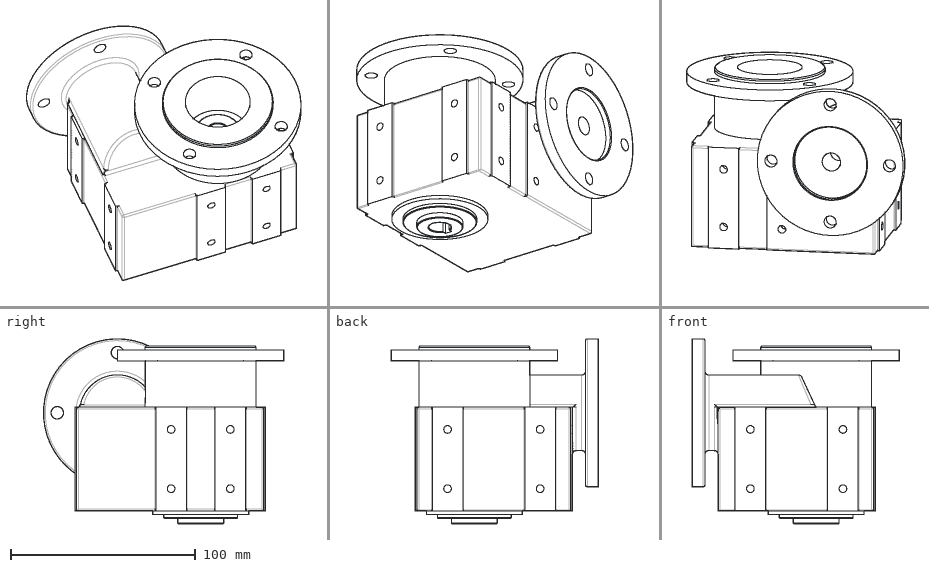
import cadquery as cq
import math


BLOCK_X_MIN = -52.0
BLOCK_X_MAX = 31.0
BLOCK_Y_MIN = -67.0
BLOCK_Y_MAX = 34.0
BLOCK_HEIGHT = 56.0
BLOCK_TOP = BLOCK_HEIGHT / 2
EDGE_RADIUS = 1.0
BOTTOM_EDGE_RADIUS = 0.5
BLOCK_X_MID = (BLOCK_X_MIN + BLOCK_X_MAX) / 2

PAD_RISE = 1.0
PAD_ROOT = 1.5
PAD_WIDTH = 16.5
PAD_FOOT_RADIUS = 0.4
LONG_SIDE_HOLE_SPACING = 50.0
SHORT_SIDE_HOLE_SPACING = 32.0
HOLE_SPACING_Z = 32.0
SCREW_HOLE_DIAMETER = 4.13
SCREW_HOLE_DEPTH = 10.0
DRILL_POINT_ANGLE = 118.0

BARREL_DIAMETER = 60.0
BARREL_TOP = 61.2
BARREL_LIP = 2.2
BARREL_CHAMFER_WIDTH = 0.5
BARREL_CHAMFER_HEIGHT = 0.8
OUTPUT_FLANGE_DIAMETER = 90.0
OUTPUT_FLANGE_TOP = BARREL_TOP - BARREL_LIP
OUTPUT_FLANGE_THICKNESS = 6.0
OUTPUT_BOLT_CIRCLE = 75.0
OUTPUT_BOLT_START_ANGLE = 45.0
FLANGE_HOLE_COUNT = 4
FLANGE_HOLE_DIAMETER = 6.6
BARREL_BORE_DIAMETER = 35.0
COVER_DIAMETER = 52.0
COVER_STEP = 2.0
COVER_FACE = BLOCK_TOP + COVER_STEP
SEAL_DIAMETER = 40.0
SEAL_FACE = COVER_FACE + COVER_STEP
SHAFT_DIAMETER = 25.0
SHAFT_HALF_LENGTH = 35.0
SHAFT_BORE_DIAMETER = 12.0
SHARP_EDGE_CHAMFER = 0.4
KEYWAY_WIDTH = 4.0
KEYWAY_REACH = 7.8

INPUT_Y = -45.0
INPUT_Z = 25.0
INPUT_FACE_X = -67.0
INPUT_FLANGE_DIAMETER = 80.0
INPUT_FLANGE_THICKNESS = 7.0
INPUT_FLANGE_EDGE_RADIUS = 1.0
INPUT_BOLT_CIRCLE = 65.0
NECK_DIAMETER = 41.0
NECK_RADIUS = NECK_DIAMETER / 2
SPIGOT_DIAMETER = 40.0
SPIGOT_DEPTH = 3.5
SPIGOT_CHAMFER = 0.5
SOCKET_DIAMETER = 10.0
SOCKET_DEPTH = 25.0
FLANGE_BACK_X = INPUT_FACE_X + INPUT_FLANGE_THICKNESS

SLOPE_ANGLE = 25.0
SLOPE_FOOT_X = -0.15
CAST_RADIUS = 2.0


def cylinder_z(diameter, z_from, z_to):
    """Upright cylinder on the output axis."""
    return cq.Workplane("XY").workplane(offset=z_from).circle(diameter / 2).extrude(z_to - z_from)


def cylinder_x(diameter, x_from, x_to):
    """Cylinder on the input axis."""
    plane = cq.Workplane("YZ", origin=(x_from, INPUT_Y, INPUT_Z))
    return plane.circle(diameter / 2).extrude(x_to - x_from)


def box_between(x_from, x_to, y_from, y_to, z_from=-BLOCK_TOP, z_to=BLOCK_TOP):
    """Box given by its limits on each axis."""
    size = (x_to - x_from, y_to - y_from, z_to - z_from)
    return cq.Workplane("XY").box(*size, centered=False).translate((x_from, y_from, z_from))


def pad(root, outward, length):
    """Full-height pad with concave feet, centred on `root`, a point on a block side face."""
    half = length / 2
    foot = PAD_FOOT_RADIUS
    bulge = foot * (1 - math.sqrt(0.5))
    along = (-outward[1], outward[0], 0)
    plane = cq.Plane(origin=(root[0], root[1], -BLOCK_TOP), xDir=along, normal=(0, 0, 1))
    outline = (
        cq.Workplane(plane)
        .moveTo(-half, -PAD_RISE)
        .lineTo(half, -PAD_RISE)
        .lineTo(half, -foot)
        .threePointArc((half + bulge, -bulge), (half + foot, 0))
        .lineTo(half + foot, PAD_ROOT)
        .lineTo(-half - foot, PAD_ROOT)
        .lineTo(-half - foot, 0)
        .threePointArc((-half - bulge, -bulge), (-half, -foot))
        .close()
    )
    return outline.extrude(BLOCK_HEIGHT)


def make_block():
    """Rounded block with two pads on each side; the -X pad nearest the neck runs to the corner."""
    block = box_between(BLOCK_X_MIN, BLOCK_X_MAX, BLOCK_Y_MIN, BLOCK_Y_MAX)
    block = block.edges("|Z or >Z or (<Z and |Y)").fillet(EDGE_RADIUS)
    block = block.faces("<Y or >Y").edges("<Z").fillet(BOTTOM_EDGE_RADIUS)
    for side in (-1, 1):
        x = BLOCK_X_MID + side * LONG_SIDE_HOLE_SPACING / 2
        y = side * SHORT_SIDE_HOLE_SPACING / 2
        block = block.union(pad((x, BLOCK_Y_MIN), (0, -1), PAD_WIDTH))
        block = block.union(pad((x, BLOCK_Y_MAX), (0, 1), PAD_WIDTH))
        block = block.union(pad((BLOCK_X_MAX, y), (1, 0), PAD_WIDTH))
    block = block.union(pad((BLOCK_X_MIN, SHORT_SIDE_HOLE_SPACING / 2), (-1, 0), PAD_WIDTH))

    neck_pad_edge = (PAD_WIDTH - SHORT_SIDE_HOLE_SPACING) / 2
    neck_pad_length = neck_pad_edge - BLOCK_Y_MIN
    neck_pad = pad((BLOCK_X_MIN, neck_pad_edge - neck_pad_length / 2), (-1, 0), neck_pad_length)
    neck_pad = neck_pad.intersect(box_between(BLOCK_X_MIN - PAD_RISE, 0, BLOCK_Y_MIN, 0))
    neck_pad = neck_pad.edges("(<X and <Y) or (<X and <Z) or (<Y and >Z)").fillet(EDGE_RADIUS)
    neck_pad = neck_pad.faces("<Y").edges("<Z").fillet(BOTTOM_EDGE_RADIUS)
    return block.union(neck_pad)


def screw_hole(face_point, inward):
    """Blind drilled hole with a conical bottom, starting at a pad face."""
    radius = SCREW_HOLE_DIAMETER / 2
    point_length = radius / math.tan(math.radians(DRILL_POINT_ANGLE / 2))
    drill = cq.Solid.makeCylinder(radius, SCREW_HOLE_DEPTH, face_point, inward)
    tip_start = face_point + inward * SCREW_HOLE_DEPTH
    return drill.fuse(cq.Solid.makeCone(radius, 0, point_length, tip_start, inward))


def drill_pads(body):
    """Four screw holes in each of the four sides."""
    for side in (-1, 1):
        x = BLOCK_X_MID + side * LONG_SIDE_HOLE_SPACING / 2
        y = side * SHORT_SIDE_HOLE_SPACING / 2
        for z in (-HOLE_SPACING_Z / 2, HOLE_SPACING_Z / 2):
            body = body.cut(screw_hole(cq.Vector(x, BLOCK_Y_MIN - PAD_RISE, z), cq.Vector(0, 1, 0)))
            body = body.cut(screw_hole(cq.Vector(x, BLOCK_Y_MAX + PAD_RISE, z), cq.Vector(0, -1, 0)))
            body = body.cut(screw_hole(cq.Vector(BLOCK_X_MIN - PAD_RISE, y, z), cq.Vector(1, 0, 0)))
            body = body.cut(screw_hole(cq.Vector(BLOCK_X_MAX + PAD_RISE, y, z), cq.Vector(-1, 0, 0)))
    return body


def slope_x(z):
    """X of the sloping neck end at height z."""
    return SLOPE_FOOT_X - (z - BLOCK_TOP) * math.tan(math.radians(SLOPE_ANGLE))


def behind_slope():
    """Everything on the flange side of the sloping neck end, as a thick slab."""
    low = INPUT_Z - INPUT_FLANGE_DIAMETER / 2
    high = INPUT_Z + INPUT_FLANGE_DIAMETER / 2
    corners = [(INPUT_FACE_X, low), (slope_x(low), low), (slope_x(high), high), (INPUT_FACE_X, high)]
    slab = cq.Workplane("XZ", origin=(0, INPUT_Y, 0)).polyline(corners).close()
    return slab.extrude(INPUT_FLANGE_DIAMETER / 2, both=True)


def make_neck():
    """Input neck with a sloping, rounded end."""
    neck = cylinder_x(NECK_DIAMETER, INPUT_FACE_X, BLOCK_X_MAX).intersect(behind_slope())
    return neck.faces(">X").edges().fillet(CAST_RADIUS)


def collar(wall_x, away):
    """Concave fillet ring between the neck and a wall; `away` is the X direction off the wall."""
    outer = NECK_RADIUS + CAST_RADIUS
    free_x = wall_x + away * CAST_RADIUS
    middle = CAST_RADIUS * (1 - math.sqrt(0.5))
    profile = (
        cq.Workplane("XY", origin=(0, INPUT_Y, INPUT_Z))
        .moveTo(wall_x, NECK_RADIUS - CAST_RADIUS)
        .lineTo(wall_x, outer)
        .threePointArc((wall_x + away * middle, NECK_RADIUS + middle), (free_x, NECK_RADIUS))
        .lineTo(free_x, NECK_RADIUS - CAST_RADIUS)
        .close()
    )
    return profile.revolve(360, (0, 0, 0), (1, 0, 0))


def neck_side_fillets():
    """Concave fillets along X between the neck and the block top, mitred at the wall collar."""
    wall_x = BLOCK_X_MIN - PAD_RISE
    center_z = BLOCK_TOP + CAST_RADIUS
    rise = center_z - INPUT_Z
    center_offset = math.sqrt((NECK_RADIUS + CAST_RADIUS) ** 2 - rise**2)
    touch_z = INPUT_Z + rise * NECK_RADIUS / (NECK_RADIUS + CAST_RADIUS)
    start_x = wall_x - CAST_RADIUS
    low_z = BLOCK_TOP - CAST_RADIUS
    strips = box_between(
        start_x,
        BLOCK_X_MAX,
        BLOCK_Y_MIN + EDGE_RADIUS / 2,
        INPUT_Y + center_offset,
        low_z,
        touch_z,
    )
    for side in (-1, 1):
        groove = cq.Workplane("YZ", origin=(start_x, INPUT_Y + side * center_offset, center_z))
        strips = strips.cut(groove.circle(CAST_RADIUS).extrude(BLOCK_X_MAX - start_x))
    mitre = (
        cq.Workplane("XZ", origin=(0, INPUT_Y, 0))
        .polyline([(start_x, touch_z), (start_x, low_z), (wall_x, low_z), (wall_x, BLOCK_TOP)])
        .close()
        .extrude(INPUT_FLANGE_DIAMETER / 2, both=True)
    )
    return strips.cut(mitre).intersect(behind_slope())


def slope_foot_fillet():
    """Concave fillet along Y between the sloping neck end and the block top."""
    tangent = CAST_RADIUS * math.tan(math.radians((90 - SLOPE_ANGLE) / 2))
    tilt = math.radians(SLOPE_ANGLE)
    center_x = SLOPE_FOOT_X + tangent
    center_z = BLOCK_TOP + CAST_RADIUS
    touch = (SLOPE_FOOT_X - tangent * math.sin(tilt), BLOCK_TOP + tangent * math.cos(tilt))
    mid_angle = math.radians((180 + SLOPE_ANGLE + 270) / 2)
    middle = (center_x + CAST_RADIUS * math.cos(mid_angle), center_z + CAST_RADIUS * math.sin(mid_angle))
    profile = (
        cq.Workplane("XZ", origin=(0, INPUT_Y + NECK_RADIUS, 0))
        .moveTo(*touch)
        .threePointArc(middle, (center_x, BLOCK_TOP))
        .lineTo(center_x, BLOCK_TOP - CAST_RADIUS)
        .lineTo(touch[0], BLOCK_TOP - CAST_RADIUS)
        .close()
    )
    return profile.extrude(NECK_DIAMETER)


def make_input():
    """Neck, its fillets and the input flange."""
    wall_x = BLOCK_X_MIN - PAD_RISE
    block_reach = box_between(wall_x - CAST_RADIUS, wall_x, BLOCK_Y_MIN + EDGE_RADIUS, BLOCK_Y_MAX)
    flange = cylinder_x(INPUT_FLANGE_DIAMETER, INPUT_FACE_X, FLANGE_BACK_X)
    flange = flange.faces(">X").edges().fillet(INPUT_FLANGE_EDGE_RADIUS)
    body = make_neck().union(flange)
    body = body.union(collar(FLANGE_BACK_X, 1))
    body = body.union(collar(wall_x, -1).intersect(block_reach))
    return body.union(neck_side_fillets()).union(slope_foot_fillet())


def cut_input(body):
    """Spigot recess, motor shaft socket and bolt holes of the input flange."""
    spigot = cylinder_x(SPIGOT_DIAMETER, INPUT_FACE_X, INPUT_FACE_X + SPIGOT_DEPTH)
    lead_in = cq.Solid.makeCone(
        SPIGOT_DIAMETER / 2 + SPIGOT_CHAMFER,
        SPIGOT_DIAMETER / 2,
        SPIGOT_CHAMFER,
        cq.Vector(INPUT_FACE_X, INPUT_Y, INPUT_Z),
        cq.Vector(1, 0, 0),
    )
    body = body.cut(spigot).cut(lead_in)
    body = body.cut(cylinder_x(SOCKET_DIAMETER, INPUT_FACE_X, INPUT_FACE_X + SPIGOT_DEPTH + SOCKET_DEPTH))
    holes = (
        cq.Workplane("YZ", origin=(INPUT_FACE_X, INPUT_Y, INPUT_Z))
        .polarArray(INPUT_BOLT_CIRCLE / 2, 0, 360, FLANGE_HOLE_COUNT)
        .circle(FLANGE_HOLE_DIAMETER / 2)
        .extrude(INPUT_FLANGE_THICKNESS)
    )
    return body.cut(holes)


def make_output():
    """Barrel, output flange and the stepped cover below the block."""
    barrel = cylinder_z(BARREL_DIAMETER, 0, BARREL_TOP)
    barrel = barrel.faces(">Z").edges().chamfer(BARREL_CHAMFER_HEIGHT, BARREL_CHAMFER_WIDTH)
    flange_bottom = OUTPUT_FLANGE_TOP - OUTPUT_FLANGE_THICKNESS
    flange = cylinder_z(OUTPUT_FLANGE_DIAMETER, flange_bottom, OUTPUT_FLANGE_TOP)
    holes = (
        cq.Workplane("XY", origin=(0, 0, flange_bottom))
        .polarArray(OUTPUT_BOLT_CIRCLE / 2, OUTPUT_BOLT_START_ANGLE, 360, FLANGE_HOLE_COUNT)
        .circle(FLANGE_HOLE_DIAMETER / 2)
        .extrude(OUTPUT_FLANGE_THICKNESS)
    )
    cover = cylinder_z(COVER_DIAMETER, -COVER_FACE, 0)
    seal = cylinder_z(SEAL_DIAMETER, -SEAL_FACE, 0).faces("<Z").edges().chamfer(SHARP_EDGE_CHAMFER)
    return barrel.union(flange.cut(holes)).union(cover).union(seal)


def make_shaft():
    """Hollow output shaft, solid until its bore is cut."""
    shaft = cylinder_z(SHAFT_DIAMETER, -SHAFT_HALF_LENGTH, SHAFT_HALF_LENGTH)
    return shaft.faces("<Z or >Z").edges().chamfer(SHARP_EDGE_CHAMFER)


def shaft_bore():
    """Through bore with chamfered mouths and a keyway on the -Y side."""
    bore = cylinder_z(SHAFT_BORE_DIAMETER, -SHAFT_HALF_LENGTH, SHAFT_HALF_LENGTH)
    for direction in (-1, 1):
        mouth = cq.Solid.makeCone(
            SHAFT_BORE_DIAMETER / 2 + SHARP_EDGE_CHAMFER,
            SHAFT_BORE_DIAMETER / 2,
            SHARP_EDGE_CHAMFER,
            cq.Vector(0, 0, direction * SHAFT_HALF_LENGTH),
            cq.Vector(0, 0, -direction),
        )
        bore = bore.union(cq.Workplane(mouth))
    half = KEYWAY_WIDTH / 2
    keyway = box_between(-half, half, -KEYWAY_REACH, 0, -SHAFT_HALF_LENGTH, SHAFT_HALF_LENGTH)
    return bore.union(keyway)


body = make_block().union(make_output()).union(make_input())
body = body.cut(cylinder_z(BARREL_BORE_DIAMETER, SEAL_FACE, BARREL_TOP))
body = body.union(make_shaft()).cut(shaft_bore())
body = cut_input(body)
result = drill_pads(body)